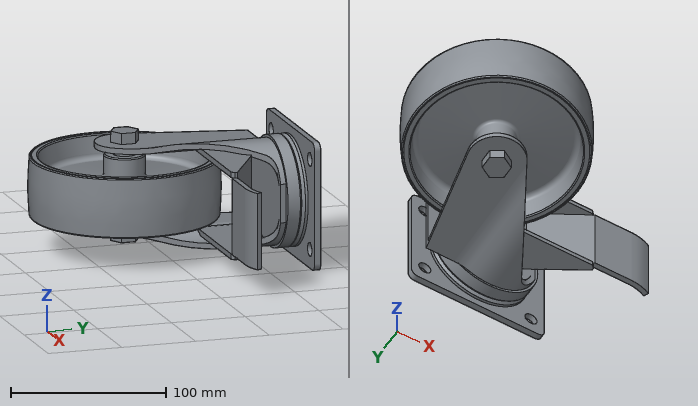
import cadquery as cq
import math


overall_length = 203.5

wheel_radius = 62.5
tyre_edge_radius = 61.7
tyre_chamfer = 0.8
wheel_half_width = 20.0
rim_outer_radius = 60.0
rim_groove_depth = 0.5
rim_inner_radius = 56.0
rim_wall_base_radius = 54.3
rim_chamfer = 0.8
web_radius = 50.3
web_half_at_rim = 3.5
web_half_at_hub = 5.5
hub_radius = 13.5
hub_half_length = 20.8
hub_chamfer = 0.8
hub_fillet = 2.2

axle_diameter = 15.0
hex_across_flats = 16.3
hex_end_z = 36.5

swivel_x = 45.0
plate_top_y = 102.1
plate_thickness = 4.3
plate_length = 100.1
plate_width = 85.0
plate_corner_radius = 4.9
hole_diameter = 9.0
hole_spacing_x = 80.0
hole_spacing_z = 60.0
bearing_radius = 73.7 / 2
bearing_neck_radius = 34.8
bearing_bevel = 1.5
bearing_neck_y = 94.0

sheet = 3.7
fork_top_y = 84.2
fork_arm_z = 29.0
fork_eye_radius = 19.5
fork_top_left_x = -2.2
fork_top_right_x = 77.5
fork_dome_radius = 35.0
fork_flat_end_x = 19.0
fork_slope = math.radians(61)
fork_corner_radius = 12.2

lever_bottom_y = 40.7
lever_slope = math.radians(30)
lever_left_x = 24.5
lever_web_left_x = 60.0
lever_knee_x = 98.7
lever_knee_chamfer = 2.0
pedal_bend_x = 126.2
pedal_bend_radius = 33.8
pedal_end_x = overall_length - wheel_radius

fork_inner_z = fork_arm_z - sheet


def extrude_across(outline, half_width):
    """Extrude an XY outline symmetrically about Z = 0."""
    return outline.extrude(half_width, both=True)


def make_wheel():
    top = wheel_half_width
    web_fillet = rim_wall_base_radius - web_radius
    diagonal = math.sqrt(0.5)
    half_wheel = (
        cq.Workplane("XZ")
        .moveTo(0, 0)
        .lineTo(0, hub_half_length)
        .lineTo(hub_radius - hub_chamfer, hub_half_length)
        .lineTo(hub_radius, hub_half_length - hub_chamfer)
        .lineTo(hub_radius, web_half_at_hub + hub_fillet)
        .threePointArc(
            (hub_radius + hub_fillet * (1 - diagonal), web_half_at_hub + hub_fillet * (1 - diagonal)),
            (hub_radius + hub_fillet, web_half_at_hub),
        )
        .lineTo(web_radius, web_half_at_rim)
        .threePointArc(
            (web_radius + web_fillet * diagonal, web_half_at_rim + web_fillet * (1 - diagonal)),
            (rim_wall_base_radius, web_half_at_rim + web_fillet),
        )
        .lineTo(rim_inner_radius, top - rim_chamfer)
        .lineTo(rim_inner_radius + rim_chamfer, top)
        .lineTo(rim_outer_radius, top)
        .lineTo(rim_outer_radius, top - rim_groove_depth)
        .lineTo(tyre_edge_radius - tyre_chamfer, top)
        .lineTo(tyre_edge_radius, top - tyre_chamfer)
        .lineTo(tyre_edge_radius, 0)
        .close()
        .revolve(360, (0, 0), (0, 1))
    )
    edge_z = top - tyre_chamfer
    crown = (
        cq.Workplane("XZ")
        .moveTo(rim_outer_radius, -edge_z)
        .lineTo(tyre_edge_radius, -edge_z)
        .threePointArc((wheel_radius, 0), (tyre_edge_radius, edge_z))
        .lineTo(rim_outer_radius, edge_z)
        .close()
        .revolve(360, (0, 0), (0, 1))
    )
    return half_wheel.union(half_wheel.mirror("XY")).union(crown)


def make_axle():
    spacer = extrude_across(cq.Workplane("XY").circle(axle_diameter / 2), fork_arm_z)
    hexagon = cq.Workplane("XY").polygon(6, hex_across_flats / math.cos(math.pi / 6))
    heads = extrude_across(hexagon, hex_end_z).rotate((0, 0, 0), (0, 0, 1), 30)
    between_arms = extrude_across(cq.Workplane("XY").circle(hex_across_flats), fork_arm_z)
    return spacer.union(heads.cut(between_arms))


def make_mount():
    plate_bottom_y = plate_top_y - plate_thickness
    plate = (
        cq.Workplane("XZ", origin=(swivel_x, plate_top_y, 0))
        .rect(plate_length, plate_width)
        .extrude(plate_thickness)
        .edges("|Y")
        .fillet(plate_corner_radius)
        .faces("<Y")
        .workplane(origin=(swivel_x, 0, 0))
        .rect(hole_spacing_x, hole_spacing_z, forConstruction=True)
        .vertices()
        .hole(hole_diameter)
    )
    bearing = (
        cq.Workplane("XY")
        .moveTo(0, fork_top_y)
        .lineTo(bearing_radius, fork_top_y)
        .lineTo(bearing_radius, bearing_neck_y - bearing_bevel)
        .lineTo(bearing_radius - bearing_bevel, bearing_neck_y)
        .lineTo(bearing_neck_radius, bearing_neck_y)
        .lineTo(bearing_radius, bearing_neck_y + bearing_radius - bearing_neck_radius)
        .lineTo(bearing_radius, plate_bottom_y)
        .lineTo(0, plate_bottom_y)
        .close()
        .revolve(360, (0, 0), (0, 1))
        .translate((swivel_x, 0, 0))
    )
    return plate.union(bearing)


bend_run = swivel_x - fork_flat_end_x
bend_radius = (bend_run**2 + fork_arm_z**2 - fork_dome_radius**2) / (2 * (fork_dome_radius - fork_arm_z))


def fork_body(inset, top_y):
    """Solid arm and dome section, inset by a wall thickness, running down from top_y."""
    dome = fork_dome_radius - inset
    flat_z = fork_arm_z - inset
    bend = bend_radius + inset
    bend_centre_z = flat_z + bend
    full_turn = math.atan2(bend_run, bend_centre_z)

    def bend_point(turn):
        return fork_flat_end_x + bend * math.sin(turn), bend_centre_z - bend * math.cos(turn)

    middle = bend_point(full_turn / 2)
    end = bend_point(full_turn)
    left_x = -2 * fork_eye_radius
    drop = top_y + 2 * fork_eye_radius
    return (
        cq.Workplane("XZ", origin=(0, top_y, 0))
        .moveTo(left_x, -flat_z)
        .lineTo(left_x, flat_z)
        .lineTo(fork_flat_end_x, flat_z)
        .threePointArc(middle, end)
        .threePointArc((swivel_x + dome, 0), (end[0], -end[1]))
        .threePointArc((middle[0], -middle[1]), (fork_flat_end_x, -flat_z))
        .close()
        .extrude(drop)
    )


def make_fork():
    underside_y = fork_top_y - sheet
    eye = fork_eye_radius

    reach = math.hypot(fork_top_left_x, fork_top_y)
    left_angle = math.atan2(fork_top_y, fork_top_left_x) + math.acos(eye / reach)
    left_tangent = (eye * math.cos(left_angle), eye * math.sin(left_angle))

    right_tangent = (eye * math.sin(fork_slope), -eye * math.cos(fork_slope))
    corner_x = right_tangent[0] + (underside_y - right_tangent[1]) / math.tan(fork_slope)
    setback = fork_corner_radius * math.tan(fork_slope / 2)
    round_start = (corner_x - setback * math.cos(fork_slope), underside_y - setback * math.sin(fork_slope))
    round_end = (corner_x + setback, underside_y)
    round_middle = (
        round_end[0] - fork_corner_radius * math.sin(fork_slope / 2),
        underside_y - fork_corner_radius * (1 - math.cos(fork_slope / 2)),
    )
    profile = (
        cq.Workplane("XY")
        .moveTo(fork_top_left_x, fork_top_y)
        .lineTo(*left_tangent)
        .threePointArc((0, -eye), right_tangent)
        .lineTo(*round_start)
        .threePointArc(round_middle, round_end)
        .lineTo(fork_top_right_x, underside_y)
        .lineTo(fork_top_right_x, fork_top_y)
        .close()
    )
    shell = fork_body(0, fork_top_y).cut(fork_body(sheet, underside_y))
    return shell.intersect(extrude_across(profile, fork_dome_radius))


def make_lever():
    knee_y = lever_bottom_y + sheet
    web_top_y = knee_y + (lever_knee_x - lever_web_left_x) * math.tan(lever_slope)
    web_drop = sheet / math.cos(lever_slope)

    side = (
        cq.Workplane("XY")
        .moveTo(lever_left_x, lever_bottom_y)
        .lineTo(lever_knee_x - lever_knee_chamfer, lever_bottom_y)
        .lineTo(lever_knee_x, lever_bottom_y + lever_knee_chamfer)
        .lineTo(lever_knee_x, knee_y)
        .lineTo(lever_web_left_x, web_top_y)
        .lineTo(lever_left_x, web_top_y)
        .close()
    )
    side_plate = side.extrude(sheet).translate((0, 0, fork_inner_z))
    sides = side_plate.union(side_plate.mirror("XY"))

    curl = math.asin((pedal_end_x - pedal_bend_x) / pedal_bend_radius)
    curl_centre_y = lever_bottom_y + pedal_bend_radius

    def curl_point(radius, turn):
        return pedal_bend_x + radius * math.sin(turn), curl_centre_y - radius * math.cos(turn)

    upper_radius = pedal_bend_radius - sheet
    strip = (
        cq.Workplane("XY")
        .moveTo(lever_web_left_x, web_top_y)
        .lineTo(lever_web_left_x, web_top_y - web_drop)
        .lineTo(lever_knee_x, lever_bottom_y)
        .lineTo(pedal_bend_x, lever_bottom_y)
        .threePointArc(curl_point(pedal_bend_radius, curl / 2), curl_point(pedal_bend_radius, curl))
        .lineTo(*curl_point(upper_radius, curl))
        .threePointArc(curl_point(upper_radius, curl / 2), curl_point(upper_radius, 0))
        .lineTo(lever_knee_x, knee_y)
        .close()
    )
    return sides.union(extrude_across(strip, fork_inner_z))


result = make_mount().union(make_fork()).union(make_lever()).union(make_axle()).union(make_wheel())